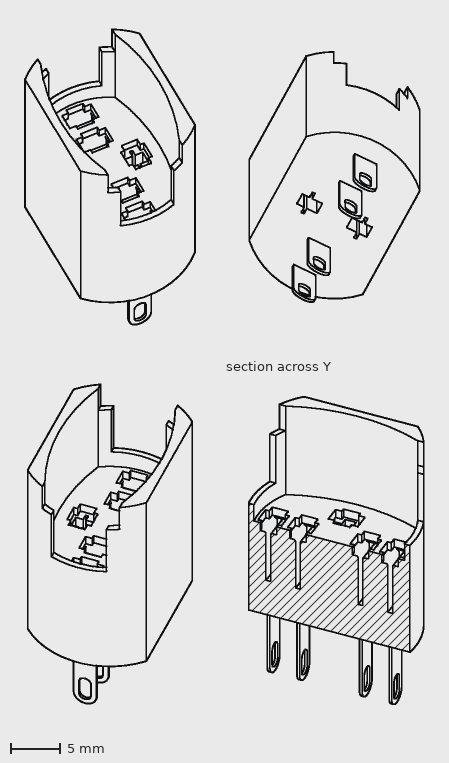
import cadquery as cq
import math

OVERALL_HEIGHT = 30.1
BODY_HEIGHT = 22.4
BODY_WIDTH = 18.2
BODY_RADIUS = BODY_WIDTH / 2
BODY_DEPTH = 13.0
FLOOR_Z = 11.35

CAVITY_END_RADIUS = 8.5
CAVITY_HALF_DEPTH = 5.6
CAVITY_CORNER_Y = 4.2

UPPER_SLOT_WIDTH = 2 * CAVITY_CORNER_Y
UPPER_SLOT_DEPTH = 3.07
LOWER_SLOT_WIDTH = 6.02
LOWER_SLOT_DEPTH = 9.0

POCKET_LENGTH = 3.28
POCKET_WIDTH = 2.62
POCKET_END_WIDTH = 1.78
POCKET_WING_LENGTH = 1.87
POCKET_DEPTH = 1.0
CONTACT_XS = (-6.8, -3.5, 3.5, 6.8)

BLADE_SLOT_LENGTH = 2.85
BLADE_SLOT_WIDTH = 0.48
BLADE_SLOT_DEPTH = 6.02
LIP_RADIUS = 0.27

PIN_THICKNESS = 0.3
PIN_WIDTH = 2.5
PIN_LENGTH = OVERALL_HEIGHT - BODY_HEIGHT
EYELET_WIDTH = 1.32
EYELET_LENGTH = 2.9

EMPTY_POCKET_Y = 3.0
RELEASE_HOLE_WIDTH = 1.2
RELEASE_HOLE_INNER_Y = EMPTY_POCKET_Y - POCKET_WIDTH / 2
RELEASE_HOLE_LENGTH = 2.3


def box(width, depth, bottom, top, x=0, y=0):
    """Upright block centred on (x, y) between two heights."""
    return (
        cq.Workplane("XY", origin=(x, y, bottom))
        .rect(width, depth)
        .extrude(top - bottom)
    )


def barrel():
    round_body = cq.Workplane("XY").circle(BODY_RADIUS).extrude(BODY_HEIGHT)
    return round_body.intersect(box(BODY_WIDTH, BODY_DEPTH, 0, BODY_HEIGHT))


def cavity():
    corner_x = math.sqrt(CAVITY_END_RADIUS**2 - CAVITY_CORNER_Y**2)
    return (
        cq.Workplane("XY", origin=(0, 0, FLOOR_Z))
        .moveTo(-corner_x, CAVITY_CORNER_Y)
        .threePointArc((0, CAVITY_HALF_DEPTH), (corner_x, CAVITY_CORNER_Y))
        .threePointArc((CAVITY_END_RADIUS, 0), (corner_x, -CAVITY_CORNER_Y))
        .threePointArc((0, -CAVITY_HALF_DEPTH), (-corner_x, -CAVITY_CORNER_Y))
        .threePointArc((-CAVITY_END_RADIUS, 0), (-corner_x, CAVITY_CORNER_Y))
        .close()
        .extrude(BODY_HEIGHT - FLOOR_Z)
    )


def end_slot(width, depth):
    return box(BODY_WIDTH, width, BODY_HEIGHT - depth, BODY_HEIGHT)


def pocket():
    """Cross-shaped recess with its long side along Y, centred on the Z axis."""
    bottom = FLOOR_Z - POCKET_DEPTH
    long_bar = box(POCKET_END_WIDTH, POCKET_LENGTH, bottom, FLOOR_Z)
    wings = box(POCKET_WIDTH, POCKET_WING_LENGTH, bottom, FLOOR_Z)
    return long_bar.union(wings)


def blade_slot():
    """Narrow slot whose mouth flares out over two rounded lips."""
    mouth_z = FLOOR_Z - POCKET_DEPTH
    slot_half = BLADE_SLOT_WIDTH / 2
    mouth_half = slot_half + LIP_RADIUS
    lip_z = mouth_z - LIP_RADIUS
    arc_offset = LIP_RADIUS * (1 - math.sqrt(0.5))
    return (
        cq.Workplane("XZ")
        .moveTo(-mouth_half, mouth_z)
        .threePointArc((-slot_half - arc_offset, mouth_z - arc_offset), (-slot_half, lip_z))
        .lineTo(-slot_half, mouth_z - BLADE_SLOT_DEPTH)
        .lineTo(slot_half, mouth_z - BLADE_SLOT_DEPTH)
        .lineTo(slot_half, lip_z)
        .threePointArc((slot_half + arc_offset, mouth_z - arc_offset), (mouth_half, mouth_z))
        .close()
        .extrude(BLADE_SLOT_LENGTH / 2, both=True)
    )


def pin():
    """Blade with a round tip, hanging below the housing on the Z axis."""
    half_width = PIN_WIDTH / 2
    tip_centre_z = half_width - PIN_LENGTH
    eyelet_centre_z = tip_centre_z + (EYELET_LENGTH - EYELET_WIDTH) / 2
    blade = (
        cq.Workplane("YZ")
        .moveTo(-half_width, 0)
        .lineTo(-half_width, tip_centre_z)
        .threePointArc((0, -PIN_LENGTH), (half_width, tip_centre_z))
        .lineTo(half_width, 0)
        .close()
        .extrude(PIN_THICKNESS / 2, both=True)
    )
    eyelet = (
        cq.Workplane("YZ")
        .center(0, eyelet_centre_z)
        .slot2D(EYELET_LENGTH, EYELET_WIDTH, 90)
        .extrude(PIN_THICKNESS, both=True)
    )
    return blade.cut(eyelet)


def empty_position():
    """Turned pocket on the +Y side with a pin slit and a release hole below it."""
    turned_pocket = pocket().rotate((0, 0, 0), (0, 0, 1), 90).translate((0, EMPTY_POCKET_Y, 0))
    pin_slit = box(PIN_WIDTH, PIN_THICKNESS, 0, FLOOR_Z, y=EMPTY_POCKET_Y)
    release_y = RELEASE_HOLE_INNER_Y + RELEASE_HOLE_LENGTH / 2
    release_hole = box(RELEASE_HOLE_WIDTH, RELEASE_HOLE_LENGTH, 0, FLOOR_Z, y=release_y)
    return turned_pocket.union(pin_slit).union(release_hole)


result = barrel().cut(cavity())
result = result.cut(end_slot(UPPER_SLOT_WIDTH, UPPER_SLOT_DEPTH))
result = result.cut(end_slot(LOWER_SLOT_WIDTH, LOWER_SLOT_DEPTH))

for contact_x in CONTACT_XS:
    place = (contact_x, 0, 0)
    result = result.cut(pocket().translate(place))
    result = result.cut(blade_slot().translate(place))
    result = result.union(pin().translate(place))

back_position = empty_position()
result = result.cut(back_position).cut(back_position.mirror("XZ"))